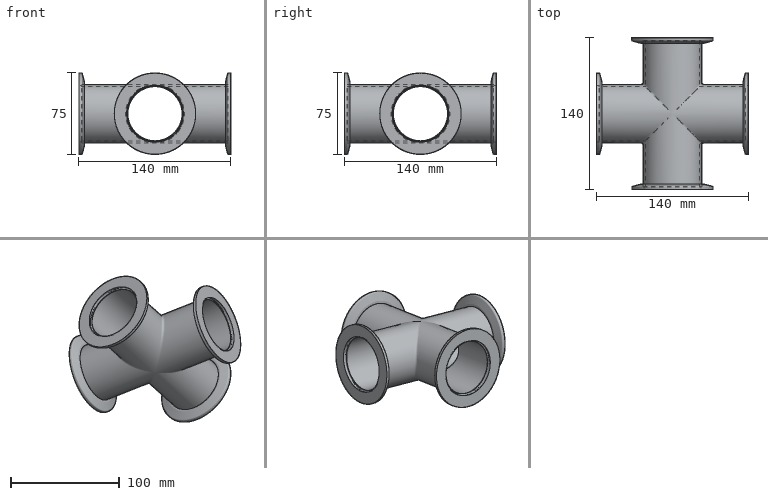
import cadquery as cq
import math

cross_span = 140.0

tube_outer_diameter = 54.0
tube_bore_diameter = 50.0
junction_fillet = 2.0

flange_diameter = 75.0
flange_recess_diameter = 52.4
flange_thickness = 5.2
flange_rim_width = 3.0
flange_back_angle = 15.0
flange_edge_fillet = 1.0
flange_recess_depth = 2.5
flange_recess_fillet = 0.4
tube_end_depth = 3.0

face_distance = cross_span / 2
tube_end_distance = face_distance - tube_end_depth
edge_tolerance = 0.1
arm_angles = [0, 90, 180, 270]


def straight_tube(diameter, angle):
    """Cylinder through the centre along a horizontal axis turned by angle from X."""
    cylinder = cq.Workplane("YZ").circle(diameter / 2).extrude(tube_end_distance, both=True)
    return cylinder.rotate((0, 0, 0), (0, 0, 1), angle)


def crossed_tubes(diameter):
    """Two cylinders of equal diameter crossing at right angles."""
    return straight_tube(diameter, 0).union(straight_tube(diameter, 90))


def make_cross():
    """Hollow four-way tube with blended outer corners."""
    outside = crossed_tubes(tube_outer_diameter)
    reach = tube_outer_diameter / 2
    around_centre = cq.selectors.BoxSelector((-reach, -reach, -reach), (reach, reach, reach))
    corner_edges = outside.edges(around_centre)
    return corner_edges.fillet(junction_fillet).cut(crossed_tubes(tube_bore_diameter))


def make_flange(angle):
    """Ring with a tapered back, a socket for the tube end and a face recess, on the arm at angle."""
    rim_radius = flange_diameter / 2
    rim_distance = face_distance - flange_rim_width
    back_distance = face_distance - flange_thickness
    recess_floor_distance = face_distance - flange_recess_depth
    taper_drop = (flange_thickness - flange_rim_width) / math.tan(math.radians(flange_back_angle))
    tube_radius = tube_outer_diameter / 2
    bore_radius = tube_bore_diameter / 2
    recess_radius = flange_recess_diameter / 2
    ring = (
        cq.Workplane("XY")
        .moveTo(face_distance, recess_radius)
        .lineTo(face_distance, rim_radius)
        .lineTo(rim_distance, rim_radius)
        .lineTo(back_distance, rim_radius - taper_drop)
        .lineTo(back_distance, tube_radius)
        .lineTo(tube_end_distance, tube_radius)
        .lineTo(tube_end_distance, bore_radius)
        .lineTo(recess_floor_distance, bore_radius)
        .lineTo(recess_floor_distance, recess_radius)
        .close()
        .revolve(360, (0, 0, 0), (1, 0, 0))
    )
    largest_circles = cq.selectors.RadiusNthSelector(-1)
    ring = ring.edges(largest_circles).edges("<X").fillet(flange_edge_fillet)
    recess_circles = ring.edges(
        cq.selectors.BoxSelector(
            (recess_floor_distance - edge_tolerance, -rim_radius, -rim_radius),
            (recess_floor_distance + edge_tolerance, rim_radius, rim_radius),
            boundingbox=True,
        )
    )
    recess_corner = recess_circles.edges(largest_circles)
    ring = recess_corner.fillet(flange_recess_fillet)
    return ring.rotate((0, 0, 0), (0, 0, 1), angle)


cross = make_cross()
flanges = [make_flange(angle) for angle in arm_angles]

result = cq.Compound.makeCompound([cross.val(), *[flange.val() for flange in flanges]])